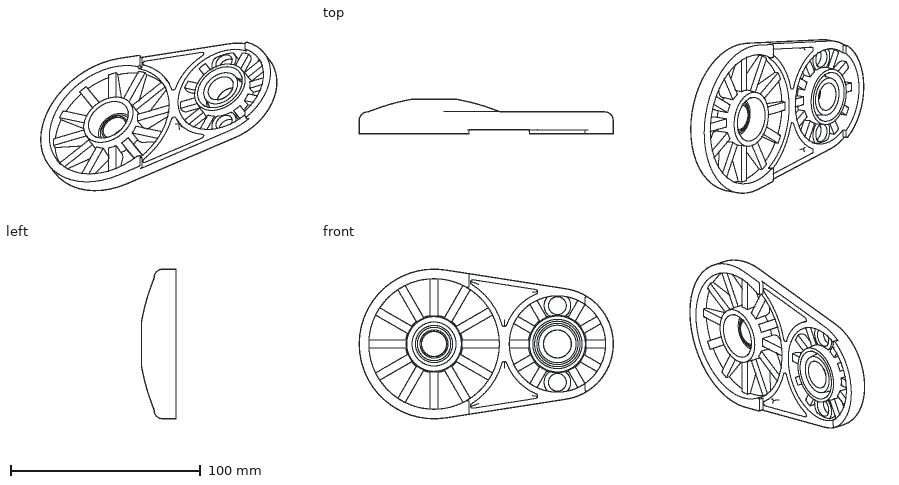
import cadquery as cq
import math


HUB_SPACING = 65.0
LARGE_R = 39.5
SMALL_R = 29.5
PLATE_DEPTH = 11.6
EDGE_ROUND = 4.6
DOME_DEPTH = 18.2
DOME_FLAT_R = 12.0
DOME_MID_R = 23.5
DOME_MID_DEPTH = 15.5

STEP_DEPTH = 2.1
STEP_START_X = 18.5
STEP_END_X = 79.5
STEP_CORNER_R = 1.0
SELECT_MARGIN = 0.1
RIM_TRIM_X = 17.0
RIM_TRIM_HALF_HEIGHT = 30.1

RIB_OVERLAP = 1.0

LARGE_RECESS_R = 34.4
LARGE_FLOOR_EDGE_DEPTH = 7.0
LARGE_FLOOR_HUB_DEPTH = 14.0
LARGE_HUB_TIP_R = 14.4
LARGE_HUB_BASE_R = 15.1
LARGE_HUB_ROUND = 2.2
LARGE_BORE_R = 11.6
LARGE_BORE_END_R = 9.8
LARGE_BORE_DEPTH = 8.6
LARGE_COLLAR_R = 7.4
LARGE_COLLAR_BASE_R = 8.8
LARGE_COLLAR_DEPTH = 7.6
LARGE_HOLE_R = 6.6
LARGE_RIB_COUNT = 12
LARGE_RIB_WIDTH = 4.4
LARGE_RIB_DEPTH = 5.0

SMALL_RECESS_R = 25.4
SMALL_FLOOR_DEPTH = 9.0
SMALL_FLOOR_ROUND = 2.0
SMALL_HUB_TIP_R = 14.75
SMALL_HUB_BASE_R = 15.4
SMALL_BORE_R = 13.0
SMALL_GROOVE_OUTER_R = 12.0
SMALL_GROOVE_INNER_R = 10.9
SMALL_GROOVE_DEPTH = 9.0
SMALL_SLEEVE_R = 9.9
SMALL_SLEEVE_DEPTH = 1.0
SMALL_HOLE_R = 7.3
SMALL_RIB_COUNT = 12
SMALL_RIB_WIDTH = 4.3
SMALL_RIB_DEPTH = 5.0
POST_ANGLES = (90, 270)
POST_OFFSET = 20.2
POST_R = 7.0
POST_DEPTH = 5.0
POST_HOLE_R = 4.7

POCKET_DEPTH = 9.0
POCKET_LARGE_WALL_R = 37.2
POCKET_SMALL_WALL_R = 28.6
POCKET_EDGE_WALL = 2.9
POCKET_FLOOR_ROUND = 2.0
POCKET_CORNER_R = 1.25

SIDE_SIN = (LARGE_R - SMALL_R) / HUB_SPACING
SIDE_COS = math.sqrt(1 - SIDE_SIN**2)
SIDE_ANGLE = math.degrees(math.asin(SIDE_SIN))


def cylinder(x, radius, start, end, y=0.0):
    return cq.Workplane("XY", origin=(x, y, start)).circle(radius).extrude(end - start)


def turned(x, profile):
    """Solid of revolution about the depth axis at x from a closed wire in (radius, depth)."""
    return profile.revolve(360, (0, 0, 0), (0, 1, 0)).translate((x, 0, 0))


def profile_start(radius, depth):
    return cq.Workplane("XZ").moveTo(radius, depth)


def make_body():
    """Tapered plate with a rounded back edge, stepped open face and domed back."""

    def tangent(x, radius, side):
        return (x + radius * SIDE_SIN, side * radius * SIDE_COS)

    plate = (
        cq.Workplane("XY")
        .moveTo(*tangent(0, LARGE_R, 1))
        .lineTo(*tangent(HUB_SPACING, SMALL_R, 1))
        .threePointArc((HUB_SPACING + SMALL_R, 0), tangent(HUB_SPACING, SMALL_R, -1))
        .lineTo(*tangent(0, LARGE_R, -1))
        .threePointArc((-LARGE_R, 0), tangent(0, LARGE_R, 1))
        .close()
        .extrude(PLATE_DEPTH)
    )
    middle = (
        cq.Workplane("XY")
        .center((STEP_START_X + STEP_END_X) / 2, 0)
        .rect(STEP_END_X - STEP_START_X, 2 * LARGE_R)
        .extrude(STEP_DEPTH)
    )
    rim_trim = (
        cq.Workplane("XY")
        .center((RIM_TRIM_X + STEP_END_X) / 2, 0)
        .rect(STEP_END_X - RIM_TRIM_X, 2 * RIM_TRIM_HALF_HEIGHT)
        .extrude(STEP_DEPTH)
    )
    stepped = plate.faces(">Z").edges().fillet(EDGE_ROUND).cut(middle)
    for x in (STEP_START_X, STEP_END_X):
        corners = cq.selectors.BoxSelector(
            (x - SELECT_MARGIN, -LARGE_R, 0), (x + SELECT_MARGIN, LARGE_R, STEP_DEPTH)
        )
        stepped = stepped.edges("|Z").edges(corners).fillet(STEP_CORNER_R)
    dome = turned(
        0,
        profile_start(0, STEP_DEPTH)
        .lineTo(LARGE_R - EDGE_ROUND, STEP_DEPTH)
        .lineTo(LARGE_R - EDGE_ROUND, PLATE_DEPTH)
        .threePointArc((DOME_MID_R, DOME_MID_DEPTH), (DOME_FLAT_R, DOME_DEPTH))
        .lineTo(0, DOME_DEPTH)
        .close(),
    )
    return stepped.cut(rim_trim).union(dome)


def ribs(x, count, width, start_radius, end_radius, start_depth, end_depth, skipped=()):
    """Evenly spaced radial bars around x, leaving out any at the skipped angles."""
    spokes = cq.Workplane("XY")
    for index in range(count):
        angle = index * 360 / count
        if angle in skipped:
            continue
        spoke = (
            cq.Workplane("XY", origin=(0, 0, start_depth))
            .center((start_radius + end_radius) / 2, 0)
            .rect(end_radius - start_radius, width)
            .extrude(end_depth - start_depth)
            .rotate((0, 0, 0), (0, 0, 1), angle)
        )
        spokes = spokes.add(spoke)
    return spokes.combine().translate((x, 0, 0))


def make_large_recess():
    """Conical-floored ring around the large hub, with the ribs left standing."""
    slope = (LARGE_FLOOR_HUB_DEPTH - LARGE_FLOOR_EDGE_DEPTH) / (LARGE_RECESS_R - LARGE_HUB_BASE_R)
    round_r = LARGE_HUB_BASE_R + LARGE_HUB_ROUND
    round_depth = LARGE_FLOOR_HUB_DEPTH - slope * LARGE_HUB_ROUND
    ring = turned(
        0,
        profile_start(LARGE_HUB_TIP_R, 0)
        .lineTo(LARGE_RECESS_R, 0)
        .lineTo(LARGE_RECESS_R, LARGE_FLOOR_EDGE_DEPTH)
        .lineTo(round_r, round_depth)
        .tangentArcPoint((LARGE_HUB_BASE_R, round_depth - LARGE_HUB_ROUND), relative=False)
        .close(),
    )
    spokes = ribs(
        0, LARGE_RIB_COUNT, LARGE_RIB_WIDTH, LARGE_BORE_R, LARGE_RECESS_R + RIB_OVERLAP,
        LARGE_RIB_DEPTH, LARGE_FLOOR_HUB_DEPTH,
    )
    return ring.cut(spokes)


def make_large_bore():
    """Tapered blind bore with a collar around the through hole at its end."""
    bore = turned(
        0,
        profile_start(0, 0)
        .lineTo(LARGE_BORE_R, 0)
        .lineTo(LARGE_BORE_END_R, LARGE_BORE_DEPTH)
        .lineTo(LARGE_COLLAR_BASE_R, LARGE_BORE_DEPTH)
        .lineTo(LARGE_COLLAR_R, LARGE_COLLAR_DEPTH)
        .lineTo(0, LARGE_COLLAR_DEPTH)
        .close(),
    )
    return bore.union(cylinder(0, LARGE_HOLE_R, 0, DOME_DEPTH))


def make_small_recess():
    """Flat-floored ring around the small hub, with ribs and two posts left standing."""
    flat_r = SMALL_RECESS_R - SMALL_FLOOR_ROUND
    ring = turned(
        HUB_SPACING,
        profile_start(SMALL_HUB_TIP_R, 0)
        .lineTo(SMALL_RECESS_R, 0)
        .lineTo(SMALL_RECESS_R, SMALL_FLOOR_DEPTH - SMALL_FLOOR_ROUND)
        .radiusArc((flat_r, SMALL_FLOOR_DEPTH), -SMALL_FLOOR_ROUND)
        .lineTo(SMALL_HUB_BASE_R, SMALL_FLOOR_DEPTH)
        .close(),
    )
    spokes = ribs(
        HUB_SPACING, SMALL_RIB_COUNT, SMALL_RIB_WIDTH, SMALL_BORE_R, SMALL_RECESS_R + RIB_OVERLAP,
        SMALL_RIB_DEPTH, SMALL_FLOOR_DEPTH, skipped=POST_ANGLES,
    )
    recess = ring.cut(spokes)
    for y in (-POST_OFFSET, POST_OFFSET):
        recess = recess.cut(cylinder(HUB_SPACING, POST_R, POST_DEPTH, SMALL_FLOOR_DEPTH, y))
        recess = recess.union(cylinder(HUB_SPACING, POST_HOLE_R, POST_DEPTH, SMALL_FLOOR_DEPTH, y))
    return recess


def make_small_bore():
    """Tapered groove around the inner sleeve, and the hole through the sleeve."""
    bore = turned(
        HUB_SPACING,
        profile_start(0, 0)
        .lineTo(SMALL_BORE_R, 0)
        .lineTo(SMALL_GROOVE_OUTER_R, SMALL_GROOVE_DEPTH)
        .lineTo(SMALL_GROOVE_INNER_R, SMALL_GROOVE_DEPTH)
        .lineTo(SMALL_SLEEVE_R, SMALL_SLEEVE_DEPTH)
        .lineTo(0, SMALL_SLEEVE_DEPTH)
        .close(),
    )
    return bore.union(cylinder(HUB_SPACING, SMALL_HOLE_R, 0, PLATE_DEPTH))


def pocket_blank(round_r):
    """Triangle between the two ring walls and the upper side, flared at the floor by round_r."""
    straight_depth = POCKET_DEPTH - round_r
    side = LARGE_R - POCKET_EDGE_WALL
    blank = (
        cq.Workplane("XY")
        .rect(2 * HUB_SPACING, 2 * side)
        .extrude(POCKET_DEPTH)
    )
    if round_r:
        blank = blank.faces(">Z").edges(">Y").fillet(round_r)
    blank = blank.rotate((0, 0, 0), (0, 0, 1), -SIDE_ANGLE)
    for x, radius in ((0, POCKET_LARGE_WALL_R), (HUB_SPACING, POCKET_SMALL_WALL_R)):
        wall = cylinder(x, radius, 0, POCKET_DEPTH)
        if round_r:
            flare = turned(
                x,
                profile_start(0, straight_depth)
                .lineTo(radius, straight_depth)
                .radiusArc((radius + round_r, POCKET_DEPTH), round_r)
                .lineTo(0, POCKET_DEPTH)
                .close(),
            )
            wall = wall.union(flare)
        blank = blank.cut(wall)
    return blank.solids(">Y")


def make_upper_pocket():
    """Pocket with rounded upright corners and a flared floor."""
    outline = cq.Workplane(pocket_blank(0).val()).edges("|Z").fillet(POCKET_CORNER_R)
    return outline.intersect(cq.Workplane(pocket_blank(POCKET_FLOOR_ROUND).val()))


def make_cover():
    """Body with both recesses, both bores and the mirrored pair of pockets cut out."""
    upper_pocket = make_upper_pocket()
    hub_tip = cylinder(HUB_SPACING, SMALL_HUB_BASE_R, 0, STEP_DEPTH)
    cover = (
        make_body()
        .union(hub_tip)
        .cut(make_large_recess())
        .cut(make_large_bore())
        .cut(make_small_recess())
        .cut(make_small_bore())
        .cut(upper_pocket)
        .cut(upper_pocket.mirror("XZ"))
    )
    return cover.rotate((0, 0, 0), (1, 0, 0), -90)


result = make_cover()